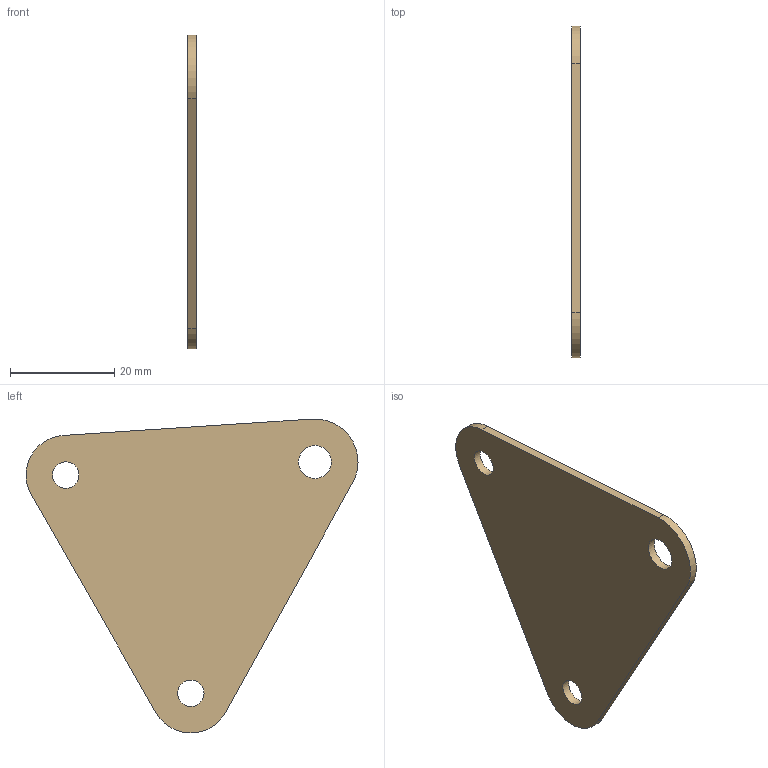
import cadquery as cq
import math

thickness = 1.59
edge_margin = 5.08
small_hole_diameter = 5.08
large_hole_diameter = 6.35

lower_center = (0.0, 0.0)
large_center = (-23.81, 44.355)
small_center = (23.975, 41.85)

corners = [
    (lower_center, small_hole_diameter),
    (small_center, small_hole_diameter),
    (large_center, large_hole_diameter),
]


def corner_radius(hole_diameter):
    return hole_diameter / 2 + edge_margin


def point_at(center, radius, angle):
    return (center[0] + radius * math.cos(angle), center[1] + radius * math.sin(angle))


def tangent_angle(start, end):
    """Direction of the outward normal of the straight edge touching both corner circles."""
    (start_center, start_hole), (end_center, end_hole) = start, end
    dy = end_center[0] - start_center[0]
    dz = end_center[1] - start_center[1]
    radius_drop = corner_radius(start_hole) - corner_radius(end_hole)
    return math.atan2(dz, dy) - math.acos(radius_drop / math.hypot(dy, dz))


def plate_outline():
    """Straight tangent edges joined by an arc around each hole."""
    edge_angles = [tangent_angle(corners[i - 1], corners[i]) for i in range(len(corners))]
    first_center, first_hole = corners[0]
    outline = cq.Workplane("YZ").moveTo(
        *point_at(first_center, corner_radius(first_hole), edge_angles[0])
    )
    for i, (center, hole_diameter) in enumerate(corners):
        radius = corner_radius(hole_diameter)
        arrival = edge_angles[i]
        departure = edge_angles[(i + 1) % len(corners)]
        sweep = (departure - arrival) % (2 * math.pi)
        if i > 0:
            outline = outline.lineTo(*point_at(center, radius, arrival))
        outline = outline.threePointArc(
            point_at(center, radius, arrival + sweep / 2),
            point_at(center, radius, departure),
        )
    return outline.close()


def hole_cutter(center, diameter):
    return cq.Workplane("YZ").center(*center).circle(diameter / 2).extrude(thickness)


result = plate_outline().extrude(thickness)
for hole_center, hole_diameter in corners:
    result = result.cut(hole_cutter(hole_center, hole_diameter))